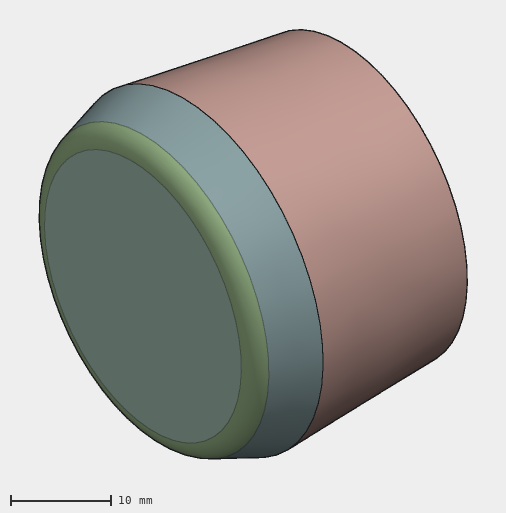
import cadquery as cq
import math

back_radius = 18.0
rim_radius = 20.0
body_length = 20.0
nose_length = 7.0
nose_taper = 20.0
front_edge_fillet = 2.5

front_radius = rim_radius - nose_length * math.tan(math.radians(nose_taper))


def make_blank():
    """Back-to-back cones; the back face lies on Y = 0."""
    profile = (
        cq.Workplane("YZ")
        .moveTo(0, 0)
        .lineTo(0, back_radius)
        .lineTo(-body_length, rim_radius)
        .lineTo(-body_length - nose_length, front_radius)
        .lineTo(-body_length - nose_length, 0)
        .close()
    )
    return profile.revolve(360, (0, 0), (1, 0))


def round_front_edge(body):
    """Round the edge between the nose cone and the front face."""
    return body.faces("<Y").edges().fillet(front_edge_fillet)


result = round_front_edge(make_blank())